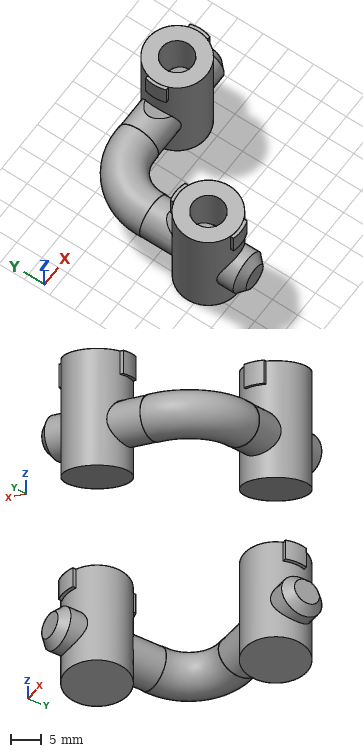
import cadquery as cq

post_height = 20.0
post_radius = 5.9
bore_radius = 3.0
post_offset = 20.85

lug_outer_radius = 6.5
lug_width = 4.0
lug_height = 4.0
lug_shift = 0.18

rod_axis_height = 8.0
arm_radius = 3.9
bend_tube_radius = 4.0
bend_radius = 9.0
bend_collar_end = 10.0
tip_overhang = 9.15
tip_chamfer = 1.5

dimple_offset = 1.95
dimple_radius = 5.92
dimple_depth = 3.55

tip_distance = post_offset + tip_overhang
arm_top = rod_axis_height + arm_radius


def on_both_arms(shape):
    """Return a shape of the -Y arm and its mirror image on the +X arm."""
    mirrored = shape.mirror("YZ").rotate((0, 0, 0), (0, 0, 1), 90)
    return [shape, mirrored]


def cylinder_along_arm(radius, start, end):
    """Cylinder on the -Y arm axis between two distances from the corner."""
    return (
        cq.Workplane("XZ", origin=(0, -start, rod_axis_height))
        .circle(radius)
        .extrude(end - start)
    )


def make_post():
    """Post with a cross hole for the arm and a bore from the top down into that hole."""
    post = cq.Workplane("XY", origin=(0, -post_offset, 0)).circle(post_radius).extrude(post_height)
    bore = (
        cq.Workplane("XY", origin=(0, -post_offset, rod_axis_height))
        .circle(bore_radius)
        .extrude(post_height - rod_axis_height)
    )
    cross_hole = cylinder_along_arm(
        arm_radius, post_offset - lug_outer_radius, post_offset + lug_outer_radius
    )
    return post.cut(bore).cut(cross_hole)


def make_lug(side):
    """Lug on the tip side (-1) or the bend side (+1) of the post."""
    ring = (
        cq.Workplane("XY", origin=(0, -post_offset, post_height - lug_height))
        .circle(lug_outer_radius)
        .circle(post_radius)
        .extrude(lug_height)
    )
    block = cq.Workplane("XY").box(
        lug_width, lug_outer_radius, lug_height, centered=(True, True, False)
    )
    block_centre = -post_offset + side * lug_outer_radius / 2
    return ring.intersect(block.translate((lug_shift, block_centre, post_height - lug_height)))


def make_arm():
    """Straight arm with a chamfered tip and a conical dimple under the post bore."""
    arm = cylinder_along_arm(arm_radius, bend_collar_end, tip_distance)
    arm = arm.faces("<Y").chamfer(tip_chamfer)
    dimple = cq.Solid.makeCone(
        0,
        dimple_radius,
        dimple_depth,
        pnt=cq.Vector(0, dimple_offset - post_offset, arm_top - dimple_depth),
        dir=cq.Vector(0, 0, 1),
    )
    return arm.cut(cq.Workplane(dimple))


def make_rod():
    """Quarter bend with a short collar at each end, joined to both arms."""
    rod = (
        cq.Workplane("XZ", origin=(0, -bend_radius, rod_axis_height))
        .circle(bend_tube_radius)
        .revolve(90, (bend_radius, 0, 0), (bend_radius, -1, 0))
    )
    collar = cylinder_along_arm(bend_tube_radius, bend_radius, bend_collar_end)
    for part in on_both_arms(collar) + on_both_arms(make_arm()):
        rod = rod.union(part)
    return rod


rod = make_rod()
posts = on_both_arms(make_post())
lugs = [lug for side in (-1, 1) for lug in on_both_arms(make_lug(side))]

result = cq.Compound.makeCompound(
    [body.solids().val() for body in [rod, *posts, *lugs]]
)